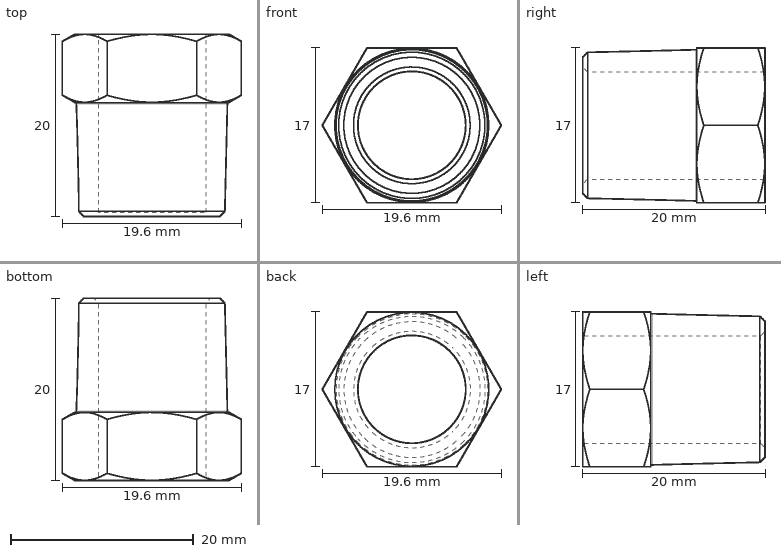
import cadquery as cq
import math

total_length = 20.0
across_flats = 17.0
hex_length = 7.5
hex_sides = 6

bevel_angle = math.radians(30)
bevel_face_inset = 0.05
bevel_face_radius = across_flats / 2 - bevel_face_inset

neck_length = 0.15

spigot_root_radius = 8.3
spigot_end_radius = 8.02
spigot_chamfer = 0.55

bore_radius = 5.9
bore_chamfer = 0.5

across_corners = across_flats / math.cos(math.pi / hex_sides)
corner_radius = across_corners / 2
bevel_depth = (corner_radius - bevel_face_radius) * math.tan(bevel_angle)
spigot_end = -total_length
hex_end = -hex_length


def turned(profile):
    """Revolve a closed (radius, y) profile about the Y axis."""
    return cq.Workplane("XY").polyline(profile).close().revolve(360, (0, 0, 0), (0, 1, 0))


def hexagon():
    """Hexagonal head with corners along X, bevelled at both ends."""
    prism = cq.Workplane("XZ").polygon(hex_sides, across_corners).extrude(hex_length)
    bevelled_bar = turned([
        (0, 0),
        (bevel_face_radius, 0),
        (corner_radius, -bevel_depth),
        (corner_radius, hex_end + bevel_depth),
        (bevel_face_radius, hex_end),
        (0, hex_end),
    ])
    return prism.intersect(bevelled_bar)


def spigot():
    """Neck and tapered spigot with a 45 degree chamfer at the free end."""
    return turned([
        (0, hex_end),
        (spigot_root_radius, hex_end),
        (spigot_root_radius, hex_end - neck_length),
        (spigot_end_radius, spigot_end + spigot_chamfer),
        (spigot_end_radius - spigot_chamfer, spigot_end),
        (0, spigot_end),
    ])


def bore():
    """Through bore, chamfered at the spigot end."""
    return turned([
        (0, 0),
        (bore_radius, 0),
        (bore_radius, spigot_end + bore_chamfer),
        (bore_radius + bore_chamfer, spigot_end),
        (0, spigot_end),
    ])


result = hexagon().union(spigot()).cut(bore())